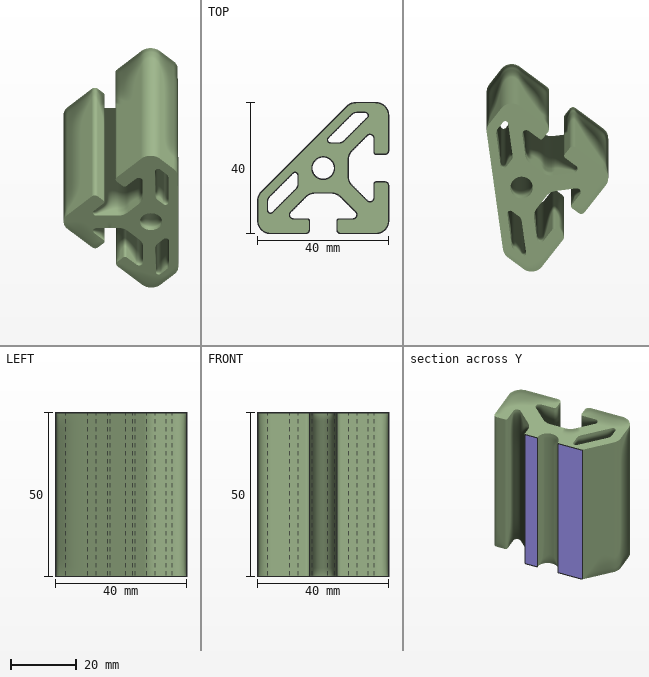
import cadquery as cq

side = 40.0
length = 50.0
half_side = side / 2
corner_radius = 4.0
bevel_offset = 11.65

bore_diameter = 6.8

neck_half_width = 4.15
lip_thickness = 4.55
floor_distance = 7.65
floor_blend_radius = 4.0
slot_tip_radius = 1.2
lip_outer_radius = 1.25
lip_inner_radius = 0.75

chamber_wall = 3.05
chamber_inner_distance = 7.7
chamber_outer_offset = 7.65
chamber_inner_offset = 1.95
chamber_tip_radius = 0.9
chamber_bend_radius = 2.2


def prism(points):
    return cq.Workplane("XY").polyline(points).close().extrude(length)


def mirrored(points):
    """Reflect points in the symmetry line y = -x."""
    return [(-y, -x) for x, y in points]


def round_edges(body, points, radius):
    """Fillet the vertical edges that pass through the given points."""
    reach = 0.05
    for x, y in points:
        box = cq.selectors.BoxSelector(
            (x - reach, y - reach, -reach),
            (x + reach, y + reach, length + reach),
        )
        body = body.edges("|Z").edges(box).fillet(radius)
    return body


def make_blank():
    bevel_end = half_side - bevel_offset
    outline = [
        (-half_side, -half_side),
        (half_side, -half_side),
        (half_side, half_side),
        (bevel_end, half_side),
        (-half_side, -bevel_end),
    ]
    return prism(outline).edges("|Z").fillet(corner_radius)


def cut_slot(body, place):
    """Cut the +X slot, or its reflection when place is mirrored."""
    lip_inside = half_side - lip_thickness
    tip_half_width = neck_half_width + lip_inside - floor_distance
    floor_ends = [(floor_distance, -neck_half_width), (floor_distance, neck_half_width)]
    tips = [(lip_inside, -tip_half_width), (lip_inside, tip_half_width)]
    lip_inner = [(lip_inside, -neck_half_width), (lip_inside, neck_half_width)]
    lip_outer = [(half_side, -neck_half_width), (half_side, neck_half_width)]
    outline = [
        floor_ends[0], tips[0], lip_inner[0], lip_outer[0],
        lip_outer[1], lip_inner[1], tips[1], floor_ends[1],
    ]
    body = body.cut(prism(place(outline)))
    body = round_edges(body, place(floor_ends), floor_blend_radius)
    body = round_edges(body, place(tips), slot_tip_radius)
    body = round_edges(body, place(lip_inner), lip_inner_radius)
    return round_edges(body, place(lip_outer), lip_outer_radius)


def cut_chamber(body, place):
    """Cut the -X chamber, or its reflection when place is mirrored."""
    far = half_side - chamber_wall
    near = chamber_inner_distance
    tips = [(-far, chamber_inner_offset - far), (-near, chamber_outer_offset - near)]
    bends = [(-near, chamber_inner_offset - near), (-far, chamber_outer_offset - far)]
    chamber = prism(place([tips[0], bends[0], tips[1], bends[1]]))
    chamber = round_edges(chamber, place(tips), chamber_tip_radius)
    chamber = round_edges(chamber, place(bends), chamber_bend_radius)
    return body.cut(chamber)


result = make_blank()
for place in (list, mirrored):
    result = cut_slot(result, place)
    result = cut_chamber(result, place)
result = result.cut(cq.Workplane("XY").circle(bore_diameter / 2).extrude(length))